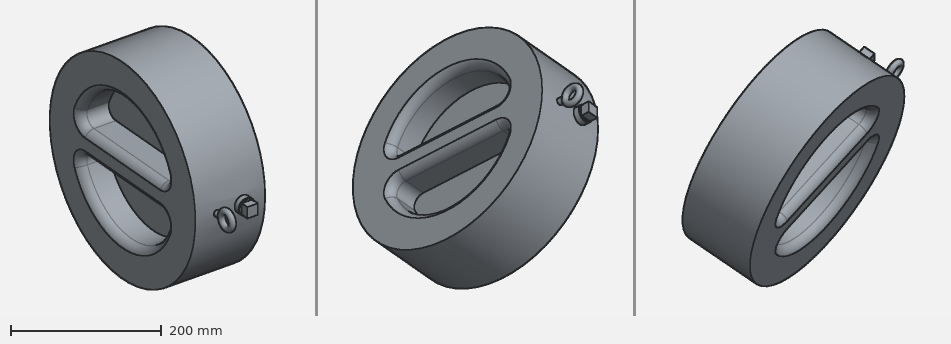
import cadquery as cq
import math

body_diameter = 331.0
body_width = 114.0
body_radius = body_diameter / 2
overall_length = 371.0
front_y = -body_width / 2

pocket_radius = 108.5
pocket_corner_radius = 16.0
pocket_depth = 50.0
rib_half_width = 20.0

rim_radius = 15.02
rim_width = 10.0
rim_depth = math.sqrt(rim_radius**2 - (rim_radius - rim_width) ** 2)
rim_overrun = rim_radius - rim_depth

plug_y = 20.0
collar_diameter = 26.5
collar_end_x = 175.5
collar_chamfer = 1.0
head_side = 17.5
head_end_x = 188.0

eye_y = -22.0
eye_bar_diameter = 10.0
eye_hole_diameter = 15.0
ring_mean_radius = (eye_hole_diameter + eye_bar_diameter) / 2
ring_center_x = overall_length - body_radius - ring_mean_radius - eye_bar_diameter / 2
shank_end_x = 171.5
neck_end_x = ring_center_x - ring_mean_radius
neck_end_height = 8.0
neck_end_width = 9.5

root_x = body_radius - 7.5


def make_pocket():
    """Half-moon cutter above the rib, reaching past the front face by the rim overrun."""
    corner_z = rib_half_width + pocket_corner_radius
    corner_reach = pocket_radius - pocket_corner_radius
    corner_x = math.sqrt(corner_reach**2 - corner_z**2)
    tangent_x = corner_x * pocket_radius / corner_reach
    tangent_z = corner_z * pocket_radius / corner_reach
    middle_angle = (math.atan2(corner_z, corner_x) - math.pi / 2) / 2
    middle_x = corner_x + pocket_corner_radius * math.cos(middle_angle)
    middle_z = corner_z + pocket_corner_radius * math.sin(middle_angle)
    return (
        cq.Workplane("XZ", origin=(0, front_y + pocket_depth, 0))
        .moveTo(-corner_x, rib_half_width)
        .lineTo(corner_x, rib_half_width)
        .threePointArc((middle_x, middle_z), (tangent_x, tangent_z))
        .threePointArc((0, pocket_radius), (-tangent_x, tangent_z))
        .threePointArc((-middle_x, middle_z), (-corner_x, rib_half_width))
        .close()
        .extrude(pocket_depth + rim_overrun)
    )


def make_body():
    """Disc with both pockets, built over-wide so the rims can be rounded, then faced off."""
    disc = (
        cq.Workplane("XZ", origin=(0, -front_y, 0))
        .circle(body_radius)
        .extrude(body_width + rim_overrun)
    )
    upper_pocket = make_pocket()
    lower_pocket = upper_pocket.mirror("XY")
    disc = disc.cut(upper_pocket).cut(lower_pocket)
    front_face = disc.faces("<Y").val()
    rim_edges = [edge for wire in front_face.innerWires() for edge in wire.Edges()]
    rounded = disc.newObject(rim_edges).fillet(rim_radius)
    facing_cut = (
        cq.Workplane("XZ", origin=(0, front_y, 0))
        .circle(body_diameter)
        .extrude(body_width)
    )
    return rounded.cut(facing_cut)


def make_plug():
    """Chamfered round collar carrying a square head."""
    collar = (
        cq.Workplane("YZ", origin=(root_x, plug_y, 0))
        .circle(collar_diameter / 2)
        .extrude(collar_end_x - root_x)
        .faces(">X")
        .chamfer(collar_chamfer)
    )
    head = (
        cq.Workplane("YZ", origin=(root_x, plug_y, 0))
        .rect(head_side, head_side)
        .extrude(head_end_x - root_x)
    )
    return collar.union(head)


def make_eye():
    """Ring on a round shank, joined by an oval neck that tapers into the ring."""
    ring = (
        cq.Workplane("XY", origin=(ring_center_x, eye_y, 0))
        .center(ring_mean_radius, 0)
        .circle(eye_bar_diameter / 2)
        .revolve(360, (-ring_mean_radius, 0), (-ring_mean_radius, 1))
    )
    shank = (
        cq.Workplane("YZ", origin=(root_x, eye_y, 0))
        .circle(eye_bar_diameter / 2)
        .extrude(shank_end_x - root_x)
        .faces(">X")
        .workplane()
        .circle(eye_bar_diameter / 2)
        .workplane(offset=neck_end_x - shank_end_x)
        .ellipse(neck_end_width / 2, neck_end_height / 2)
        .loft()
    )
    return ring.union(shank)


result = make_body().union(make_plug()).union(make_eye())